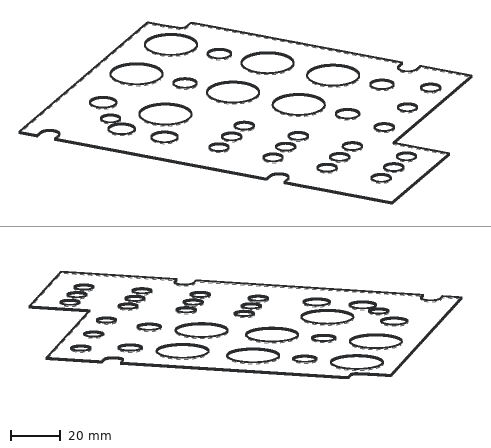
import cadquery as cq

length = 165.8
width = 128.5
thickness = 0.65

upper_length = 140.8
step_height = 54.2

notch_width = 8.0
notch_depth = 7.5
left_notch_x = 12.0
right_notch_x = 113.9

relief_length = left_notch_x + notch_width / 2
relief_depth = 7.3
relief_flat_length = 7.5
relief_floor_rise = 0.7
relief_inner_radius = 2.3
relief_outer_radius = 0.8

large_diameter = 21.0
medium_diameter = 10.8
control_diameter = 9.6
small_diameter = 8.0

upper_rows = (72.8, 105.3)
large_columns = (17.9, 60.8, 90.0)
control_columns = (39.5, 111.7)
right_column_x = 130.8
right_column_middle_y = 88.9
right_column_pitch = 21.9
grid_start_x = 79.2
grid_start_y = 20.4
grid_pitch_x = 24.0
grid_pitch_y = 12.0
grid_columns = 4
grid_rows = 3

cluster_large_center = (45.6, 41.3)
cluster_small_center = (27.5, 27.9)
cluster_medium_centers = [(large_columns[0], 41.3), (36.0, grid_start_y), (55.0, grid_start_y)]


def make_plate():
    relief_floor = width - relief_depth
    plate = (
        cq.Workplane("XY")
        .moveTo(0, 0)
        .lineTo(length, 0)
        .lineTo(length, step_height)
        .lineTo(upper_length, step_height)
        .lineTo(upper_length, width)
        .lineTo(relief_length, width)
        .lineTo(relief_length, relief_floor + relief_floor_rise)
        .lineTo(relief_flat_length, relief_floor)
        .lineTo(0, relief_floor)
        .close()
        .extrude(thickness)
    )
    inner_corner = (relief_length, relief_floor + relief_floor_rise, thickness / 2)
    outer_corner = (relief_length, width, thickness / 2)
    plate = plate.edges(cq.selectors.NearestToPointSelector(inner_corner)).fillet(relief_inner_radius)
    return plate.edges(cq.selectors.NearestToPointSelector(outer_corner)).fillet(relief_outer_radius)


def cut_notch(plate, x, edge_y, inward):
    """Cut a round-ended notch from an edge; inward is +1 or -1 along Y."""
    radius = notch_width / 2
    arc_start_y = edge_y + inward * (notch_depth - radius)
    cutter = (
        cq.Workplane("XY")
        .moveTo(x - radius, edge_y)
        .lineTo(x - radius, arc_start_y)
        .threePointArc((x, edge_y + inward * notch_depth), (x + radius, arc_start_y))
        .lineTo(x + radius, edge_y)
        .close()
        .extrude(thickness)
    )
    return plate.cut(cutter)


def cut_holes(plate, centers, diameter):
    cutters = cq.Workplane("XY").pushPoints(centers).circle(diameter / 2).extrude(thickness)
    return plate.cut(cutters)


large_centers = [(x, y) for x in large_columns for y in upper_rows] + [cluster_large_center]
control_centers = [(x, y) for x in control_columns for y in upper_rows]
right_column_centers = [
    (right_column_x, right_column_middle_y + i * right_column_pitch) for i in (-1, 0, 1)
]
grid_centers = [
    (grid_start_x + column * grid_pitch_x, grid_start_y + row * grid_pitch_y)
    for column in range(grid_columns)
    for row in range(grid_rows)
]

result = make_plate()
result = cut_notch(result, left_notch_x, 0, 1)
result = cut_notch(result, right_notch_x, 0, 1)
result = cut_notch(result, right_notch_x, width, -1)
result = cut_holes(result, large_centers, large_diameter)
result = cut_holes(result, control_centers, control_diameter)
result = cut_holes(result, cluster_medium_centers, medium_diameter)
result = cut_holes(result, right_column_centers + grid_centers + [cluster_small_center], small_diameter)